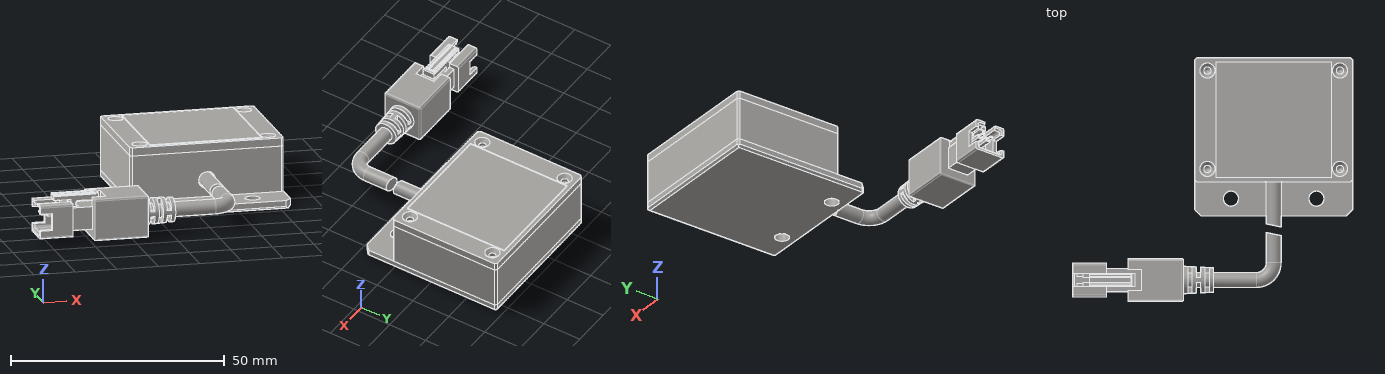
import cadquery as cq
import math

TOTAL_X = 65.5
TOTAL_Y = 57.0
PLATE_SIZE = 37.0
PLATE_THICK = 2.0
PLATE_FRONT_CHAMFER = 1.5
PLATE_BOTTOM_CHAMFER = 0.6
CASE_DEPTH = 29.0
CASE_HEIGHT = 11.0
LID_THICK = 1.95
CORNER_CHAMFER = 0.5

MOUNT_HOLE_DIA = 3.5
MOUNT_HOLE_SPACING = 20.0
MOUNT_HOLE_FROM_FRONT = 4.05

SCREW_INSET = 3.0
SCREW_HEAD_DIA = 3.55
SCREW_HOLE_DIA = 1.7
SCREW_CONE_ANGLE = 90.0
SCREW_HOLE_DEPTH = 5.9
DRILL_TIP_ANGLE = 118.0

LABEL_SIZE = 27.0
LABEL_THICK = 0.2

CABLE_DIA = 3.55
CABLE_Z = 6.0
CABLE_BEND_RADIUS = 4.05
CABLE_ENTRY_DIA = 4.0
CABLE_ENTRY_DEPTH = 1.0
CUT_ANGLE = 12.0
STUB_END_Y = 17.75
LEAD_END_Y = 15.8

SHELL_LENGTH = 7.9
SHELL_SIZE = 8.0
SHELL_FILLET = 0.45
SHELL_WALL = 1.0
CAVITY_DEPTH = 6.0
CAVITY_FILLET = 0.4
MOUTH_CHAMFER = 0.45
SIDE_WINDOW_DEPTH = 2.95
SIDE_WINDOW_HEIGHT = 4.05
LATCH_WIDTH = 3.0
NECK_SIZE = 5.5

BLOCK_START_X = 12.9
BLOCK_LENGTH = 13.05
BLOCK_SIZE = 10.0
BLOCK_FILLET = 0.4
BLOCK_FRONT_FILLET = 0.2
NOTCH_LENGTH = 3.2
NOTCH_WIDTH = 5.0

PIN_OFFSET = 1.2
PIN_RAISE = 1.3
PIN_WIDTH = 1.1
PIN_HEIGHT = 0.9
PIN_SHOULDER_X = 2.4
PIN_TIP_X = 1.0
PIN_TIP_WIDTH = 0.7
PIN_TIP_HEIGHT = 0.3
SOCKET_DROP = 1.6
SOCKET_WIDTH = 0.6
SOCKET_HEIGHT = 0.2
SOCKET_DEPTH = 0.65

LATCH_FRONT_X = 3.9
LATCH_REAR_X = 14.6
LATCH_TOP_Z = 11.65
LATCH_FRONT_THICK = 1.2
LATCH_REAR_THICK = 1.6
LATCH_LEG_X = 8.05
LATCH_LEG_LENGTH = 1.1
CATCH_FRONT_X = 4.1
CATCH_REAR_X = 5.4
CATCH_WIDTH = 2.0
CATCH_DROP = 1.45
LATCH_EDGE_CHAMFER = 0.2
GROOVE_WIDTH = 0.3
GROOVE_DEPTH = 0.25
GROOVE_OFFSET = 0.7
GROOVE_END_X = 13.9
CROSS_GROOVE_WIDTH = 0.2

RELIEF_BIG_DIA = 6.5
RELIEF_SMALL_DIA = 5.75
RELIEF_LENGTH = 7.0
RELIEF_GAPS = 3
RELIEF_WEB = 1.2

PLATE_LEFT = TOTAL_X - PLATE_SIZE
PLATE_FRONT = TOTAL_Y - PLATE_SIZE
MID_X = TOTAL_X - PLATE_SIZE / 2
CASE_MID_Y = TOTAL_Y - CASE_DEPTH / 2
CASE_FRONT = TOTAL_Y - CASE_DEPTH
CASE_TOP = PLATE_THICK + CASE_HEIGHT
LID_TOP = CASE_TOP + LID_THICK

PLUG_Y = BLOCK_SIZE / 2
CUT_ALLOWANCE = CABLE_DIA * math.tan(math.radians(CUT_ANGLE))
NECK_TOP = CABLE_Z + NECK_SIZE / 2
BLOCK_END_X = BLOCK_START_X + BLOCK_LENGTH
RELIEF_SEGMENT = RELIEF_LENGTH / (2 * RELIEF_GAPS + 1)
RELIEF_END_X = BLOCK_END_X + RELIEF_LENGTH


def box_between(x_range, y_range, z_range):
    """Box given by its lowest and highest X, Y and Z."""
    ranges = (x_range, y_range, z_range)
    sizes = [high - low for low, high in ranges]
    corner = tuple(low for low, high in ranges)
    return cq.Workplane("XY").box(*sizes, centered=False).translate(corner)


def bar(x_range, width, height, y=PLUG_Y, z=CABLE_Z):
    """Bar along X with a width x height section centred on (y, z)."""
    return box_between(
        x_range, (y - width / 2, y + width / 2), (z - height / 2, z + height / 2)
    )


def make_base_plate():
    block = box_between((PLATE_LEFT, TOTAL_X), (PLATE_FRONT, TOTAL_Y), (0, PLATE_THICK))
    bevelled = block.faces("<Z").edges().chamfer(PLATE_BOTTOM_CHAMFER)
    outline = block.edges("|Z and <Y").chamfer(PLATE_FRONT_CHAMFER)
    outline = outline.edges("|Z and >Y").chamfer(CORNER_CHAMFER)
    plate = bevelled.intersect(outline)
    holes = (
        cq.Workplane("XY")
        .center(MID_X, PLATE_FRONT + MOUNT_HOLE_FROM_FRONT)
        .rarray(MOUNT_HOLE_SPACING, 0.65, 2, 1)
        .circle(MOUNT_HOLE_DIA / 2)
        .extrude(PLATE_THICK)
    )
    return plate.cut(holes)


def case_layer(bottom, top):
    """Chamfered block with the outline shared by the case and the lid."""
    layer = box_between((PLATE_LEFT, TOTAL_X), (CASE_FRONT, TOTAL_Y), (bottom, top))
    return layer.edges("|Z").chamfer(CORNER_CHAMFER)


def make_screw_holes():
    """Four countersunk blind holes that run through the lid into the case."""
    head_radius = SCREW_HEAD_DIA / 2
    radius = SCREW_HOLE_DIA / 2
    sink_depth = (head_radius - radius) / math.tan(math.radians(SCREW_CONE_ANGLE / 2))
    tip_depth = radius / math.tan(math.radians(DRILL_TIP_ANGLE / 2))
    hole = (
        cq.Workplane("XZ")
        .lineTo(head_radius, 0)
        .lineTo(radius, -sink_depth)
        .lineTo(radius, -SCREW_HOLE_DEPTH)
        .lineTo(0, -SCREW_HOLE_DEPTH - tip_depth)
        .close()
        .revolve(360, (0, 0), (0, 1))
        .val()
    )
    return (
        cq.Workplane("XY", origin=(MID_X, CASE_MID_Y, LID_TOP))
        .rarray(PLATE_SIZE - 2 * SCREW_INSET, CASE_DEPTH - 2 * SCREW_INSET, 2, 2)
        .eachpoint(lambda place: hole.moved(place), combine=True)
    )


def make_case():
    entry = (
        cq.Workplane("XZ", origin=(MID_X, CASE_FRONT, CABLE_Z))
        .circle(CABLE_ENTRY_DIA / 2)
        .extrude(-CABLE_ENTRY_DEPTH)
    )
    return case_layer(PLATE_THICK, CASE_TOP).cut(entry).cut(make_screw_holes())


def make_lid():
    return case_layer(CASE_TOP, LID_TOP).cut(make_screw_holes())


def make_label():
    return (
        cq.Workplane("XY", origin=(MID_X, CASE_MID_Y, LID_TOP))
        .rect(LABEL_SIZE, LABEL_SIZE)
        .extrude(LABEL_THICK)
    )


def cable_along_y(y_range, slanted_end, keep_rear):
    """Cable running along Y, cut on a slant that crosses its axis at slanted_end."""
    low, high = y_range
    cable = (
        cq.Workplane("XZ", origin=(MID_X, high, CABLE_Z))
        .circle(CABLE_DIA / 2)
        .extrude(high - low)
    )
    reach = 2 * CABLE_DIA
    cutter_shift = -reach / 2 if keep_rear else reach / 2
    cutter = (
        cq.Workplane("XY")
        .box(reach, reach, reach)
        .translate((0, cutter_shift, 0))
        .rotate((0, 0, 0), (0, 0, 1), -CUT_ANGLE)
        .translate((MID_X, slanted_end, CABLE_Z))
    )
    return cable.cut(cutter)


def make_cable_stub():
    y_range = (STUB_END_Y - CUT_ALLOWANCE, CASE_FRONT + CABLE_ENTRY_DEPTH)
    return cable_along_y(y_range, STUB_END_Y, keep_rear=True)


def make_lead_cable():
    bend_start_x = MID_X - CABLE_BEND_RADIUS
    bend_end_y = PLUG_Y + CABLE_BEND_RADIUS
    straight = (
        cq.Workplane("YZ", origin=(BLOCK_END_X, PLUG_Y, CABLE_Z))
        .circle(CABLE_DIA / 2)
        .extrude(bend_start_x - BLOCK_END_X)
    )
    elbow = (
        cq.Workplane("YZ", origin=(bend_start_x, PLUG_Y, CABLE_Z))
        .circle(CABLE_DIA / 2)
        .revolve(90, (CABLE_BEND_RADIUS, 0), (CABLE_BEND_RADIUS, 1))
    )
    upright = cable_along_y((bend_end_y, LEAD_END_Y + CUT_ALLOWANCE), LEAD_END_Y, keep_rear=False)
    return straight.union(elbow).union(upright)


def make_strain_relief():
    """Tapered sleeve with gaps bridged by webs, alternately at the sides and at top and bottom."""
    sleeve = (
        cq.Workplane("XY")
        .moveTo(BLOCK_END_X, 0)
        .lineTo(BLOCK_END_X, RELIEF_BIG_DIA / 2)
        .lineTo(RELIEF_END_X, RELIEF_SMALL_DIA / 2)
        .lineTo(RELIEF_END_X, 0)
        .close()
        .revolve(360, (0, 0), (1, 0))
        .translate((0, PLUG_Y, CABLE_Z))
    )
    for index in range(RELIEF_GAPS):
        gap_start = BLOCK_END_X + (2 * index + 1) * RELIEF_SEGMENT
        gap = (gap_start, gap_start + RELIEF_SEGMENT)
        if index % 2 == 0:
            web = bar(gap, RELIEF_BIG_DIA, RELIEF_WEB)
        else:
            web = bar(gap, RELIEF_WEB, RELIEF_BIG_DIA)
        sleeve = sleeve.cut(bar(gap, RELIEF_BIG_DIA, RELIEF_BIG_DIA).cut(web))
    return sleeve


def make_block():
    block = bar((BLOCK_START_X, BLOCK_END_X), BLOCK_SIZE, BLOCK_SIZE)
    block = block.edges("|X or >X").fillet(BLOCK_FILLET)
    block = block.faces("<X").edges().fillet(BLOCK_FRONT_FILLET)
    notch = box_between(
        (BLOCK_START_X, BLOCK_START_X + NOTCH_LENGTH),
        (PLUG_Y - NOTCH_WIDTH / 2, PLUG_Y + NOTCH_WIDTH / 2),
        (NECK_TOP, CABLE_Z + BLOCK_SIZE / 2),
    )
    return block.cut(notch)


def make_shell():
    shell = bar((0, SHELL_LENGTH), SHELL_SIZE, SHELL_SIZE).edges("|X").fillet(SHELL_FILLET)
    cavity_size = SHELL_SIZE - 2 * SHELL_WALL
    cavity = bar((0, CAVITY_DEPTH), cavity_size, cavity_size).edges("|X").fillet(CAVITY_FILLET)
    mouth_size = cavity_size + 2 * MOUTH_CHAMFER
    mouth_rim = cq.Sketch().rect(mouth_size, mouth_size).vertices().fillet(
        CAVITY_FILLET + MOUTH_CHAMFER
    )
    mouth_throat = cq.Sketch().rect(cavity_size, cavity_size).vertices().fillet(CAVITY_FILLET)
    mouth = (
        cq.Workplane("YZ", origin=(0, PLUG_Y, CABLE_Z))
        .placeSketch(mouth_rim, mouth_throat.moved(cq.Location((0, 0, MOUTH_CHAMFER))))
        .loft()
    )
    windows = bar((0, SIDE_WINDOW_DEPTH), SHELL_SIZE, SIDE_WINDOW_HEIGHT)
    roof_slot = box_between(
        (0, SHELL_LENGTH),
        (PLUG_Y - LATCH_WIDTH / 2, PLUG_Y + LATCH_WIDTH / 2),
        (NECK_TOP, CABLE_Z + SHELL_SIZE / 2),
    )
    shell = shell.cut(cavity).cut(mouth).cut(windows).cut(roof_slot)
    for side in (-1, 1):
        shell = shell.cut(
            bar(
                (CAVITY_DEPTH, CAVITY_DEPTH + SOCKET_DEPTH),
                SOCKET_WIDTH,
                SOCKET_HEIGHT,
                PLUG_Y + side * PIN_OFFSET,
                CABLE_Z - SOCKET_DROP,
            )
        )
    return shell


def make_pin(y):
    z = CABLE_Z + PIN_RAISE
    shank = bar((PIN_SHOULDER_X, CAVITY_DEPTH), PIN_WIDTH, PIN_HEIGHT, y, z)
    tip = bar((PIN_TIP_X, PIN_SHOULDER_X), PIN_TIP_WIDTH, PIN_TIP_HEIGHT, y, z)
    return shank.union(tip)


def make_latch():
    """Spring arm on the neck: a catch below its front end, grooves on top and a square tail."""
    front_bottom = LATCH_TOP_Z - LATCH_FRONT_THICK
    rear_bottom = LATCH_TOP_Z - LATCH_REAR_THICK
    leg_rear_x = LATCH_LEG_X + LATCH_LEG_LENGTH
    arc_radius = (rear_bottom - NECK_TOP) / 2
    plane = cq.Workplane("XZ", origin=(0, PLUG_Y, 0))
    arm = (
        plane.moveTo(LATCH_FRONT_X, LATCH_TOP_Z)
        .lineTo(LATCH_REAR_X, LATCH_TOP_Z)
        .lineTo(LATCH_REAR_X, rear_bottom)
        .lineTo(leg_rear_x + arc_radius, rear_bottom)
        .threePointArc((leg_rear_x, rear_bottom - arc_radius), (leg_rear_x + arc_radius, NECK_TOP))
        .lineTo(LATCH_LEG_X, NECK_TOP)
        .lineTo(LATCH_LEG_X, front_bottom)
        .lineTo(LATCH_FRONT_X, front_bottom)
        .close()
        .extrude(LATCH_WIDTH / 2, both=True)
    )
    catch = (
        plane.moveTo(CATCH_FRONT_X, front_bottom)
        .lineTo(CATCH_REAR_X, front_bottom)
        .lineTo(CATCH_REAR_X, front_bottom - CATCH_DROP)
        .close()
        .extrude(CATCH_WIDTH / 2, both=True)
    )
    tail = box_between(
        (GROOVE_END_X, LATCH_REAR_X),
        (PLUG_Y - LATCH_WIDTH / 2, PLUG_Y + LATCH_WIDTH / 2),
        (rear_bottom, LATCH_TOP_Z),
    )
    arm = arm.edges("|X and >Z").chamfer(LATCH_EDGE_CHAMFER)
    latch = arm.union(tail).union(catch)
    groove_z = LATCH_TOP_Z - GROOVE_DEPTH / 2
    cross_groove = (GROOVE_END_X - CROSS_GROOVE_WIDTH, GROOVE_END_X)
    latch = latch.cut(bar(cross_groove, LATCH_WIDTH, GROOVE_DEPTH, PLUG_Y, groove_z))
    for side in (-1, 1):
        groove_y = PLUG_Y + side * GROOVE_OFFSET
        latch = latch.cut(
            bar((LATCH_FRONT_X, GROOVE_END_X), GROOVE_WIDTH, GROOVE_DEPTH, groove_y, groove_z)
        )
    return latch


def make_lead():
    """Plug, block, strain relief and cable moulded together."""
    lead = make_shell().union(bar((SHELL_LENGTH, BLOCK_START_X), NECK_SIZE, NECK_SIZE))
    lead = lead.union(make_latch()).union(make_block())
    for side in (-1, 1):
        lead = lead.union(make_pin(PLUG_Y + side * PIN_OFFSET))
    return lead.union(make_strain_relief()).union(make_lead_cable())


base_plate = make_base_plate()
case = make_case()
lid = make_lid()
label = make_label()
cable_stub = make_cable_stub()
lead = make_lead()

result = cq.Compound.makeCompound(
    [base_plate.val(), case.val(), lid.val(), label.val(), cable_stub.val(), lead.val()]
)